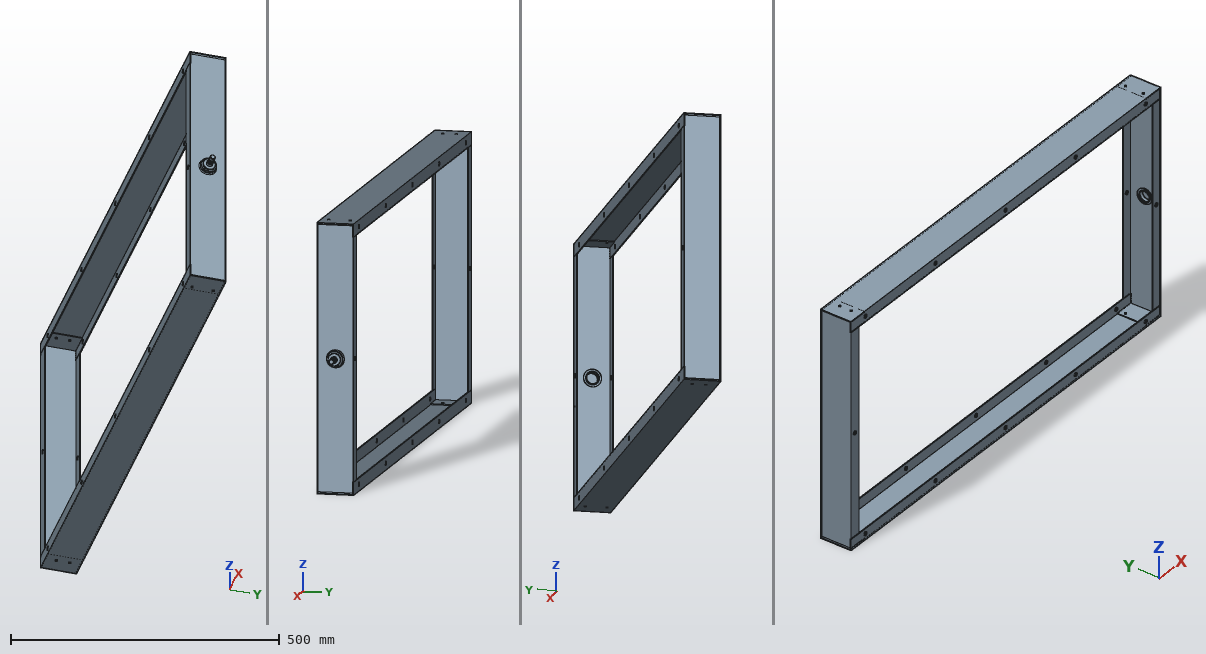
import cadquery as cq

overall_length = 1004.0
frame_length = 972.0
frame_depth = 70.0
frame_height = 514.0

sheet = 2.0
flange_width = 25.0
tab_length = 44.0

mount_diameter = 8.0
mount_inset = 13.0
mount_pitch = 220.0
mount_count = 5

screw_diameter = 4.5
left_screw_inset = 30.0
left_screw_spacing = 26.0
right_screw_inset = 35.0
right_screw_spacing = 41.0

shank_diameter = 26.0
socket_diameter = 22.0
socket_depth = 10.0
nut_diameter = 34.0
nut_thickness = 2.0
rim_diameter = 30.0
rim_length = 6.0
shoulder_diameter = 24.0
shoulder_length = 3.0
neck_diameter = 12.0
neck_length = 6.0
stem_diameter = 10.0
stem_length = 10.0
groove_diameter = 9.0
groove_width = 3.0
groove_offset = 3.0
cap_chamfer = 1.0

half_length = frame_length / 2
half_depth = frame_depth / 2
half_height = frame_height / 2


def mount_drills(points):
    """Cylinders along Y through both flanges at (x, z) points."""
    return (
        cq.Workplane("XZ", origin=(0, half_depth, 0))
        .pushPoints(points)
        .circle(mount_diameter / 2)
        .extrude(frame_depth)
    )


def screw_drills(x, spacing):
    """Two cylinders along Z through the whole frame."""
    return (
        cq.Workplane("XY", origin=(x, 0, -half_height))
        .pushPoints([(0, -spacing / 2), (0, spacing / 2)])
        .circle(screw_diameter / 2)
        .extrude(frame_height)
    )


def make_top_rail():
    """Channel over the full frame length, opening downwards."""
    outer = cq.Workplane("XY").box(frame_length, frame_depth, flange_width)
    inner = (
        cq.Workplane("XY")
        .box(frame_length, frame_depth - 2 * sheet, flange_width)
        .translate((0, 0, -sheet))
    )
    rail = outer.cut(inner).translate((0, 0, half_height - flange_width / 2))
    first_x = -mount_pitch * (mount_count - 1) / 2
    points = [(first_x + i * mount_pitch, half_height - mount_inset) for i in range(mount_count)]
    rail = rail.cut(mount_drills(points))
    for screws in (left_screws, right_screws):
        rail = rail.cut(screws)
    return rail


def make_left_side():
    """Channel opening inwards, with a tab bent inwards at each end of its web."""
    clear_height = frame_height - 2 * flange_width
    outer = cq.Workplane("XY").box(flange_width, frame_depth, clear_height)
    inner = (
        cq.Workplane("XY")
        .box(flange_width, frame_depth - 2 * sheet, clear_height)
        .translate((sheet, 0, 0))
    )
    channel = outer.cut(inner).translate((flange_width / 2 - half_length, 0, 0))

    strap_width = frame_depth - 2 * sheet
    strap_height = frame_height - 2 * sheet
    strap_outer = cq.Workplane("XY").box(tab_length, strap_width, strap_height)
    strap_inner = (
        cq.Workplane("XY")
        .box(tab_length, strap_width, strap_height - 2 * sheet)
        .translate((sheet, 0, 0))
    )
    strap = strap_outer.cut(strap_inner).translate((tab_length / 2 - half_length, 0, 0))
    return channel.union(strap).cut(mount_drills([(mount_inset - half_length, 0)]))


def disc(start_x, diameter, length):
    """Round bar along X on the frame's centre line."""
    return cq.Workplane("YZ", origin=(start_x, 0, 0)).circle(diameter / 2).extrude(length)


def make_collar():
    """Stepped flange on the web, its shank through the web and the nut, with a blind socket."""
    collar = (
        disc(nut_x, shank_diameter, nut_thickness + sheet)
        .union(disc(half_length, rim_diameter, rim_length))
        .union(disc(half_length + rim_length, shoulder_diameter, shoulder_length))
    )
    return collar.cut(disc(nut_x, socket_diameter, socket_depth))


def make_stem():
    """Thin bar with one shallow groove."""
    stem = disc(stem_x, stem_diameter, stem_length)
    groove_x = stem_x + groove_offset
    ring = disc(groove_x, stem_diameter, groove_width).cut(disc(groove_x, groove_diameter, groove_width))
    return stem.cut(ring)


web_inner_x = half_length - sheet
nut_x = web_inner_x - nut_thickness
neck_x = half_length + rim_length + shoulder_length
stem_x = neck_x + neck_length
cap_x = stem_x + stem_length
tip_x = overall_length - half_length

left_screws = screw_drills(left_screw_inset - half_length, left_screw_spacing)
right_screws = screw_drills(half_length - right_screw_inset, right_screw_spacing)

top_rail = make_top_rail()
bottom_rail = top_rail.mirror("XY")
left_side = make_left_side().cut(left_screws)
right_side = make_left_side().mirror("YZ").cut(right_screws)
right_side = right_side.cut(disc(web_inner_x, shank_diameter, sheet))
nut = disc(nut_x, nut_diameter, nut_thickness).cut(disc(nut_x, shank_diameter, nut_thickness))
collar = make_collar()
neck = disc(neck_x, neck_diameter, neck_length)
stem = make_stem()
cap = disc(cap_x, stem_diameter, tip_x - cap_x).faces(">X").chamfer(cap_chamfer)

result = cq.Compound.makeCompound(
    [
        top_rail.val(),
        bottom_rail.val(),
        left_side.val(),
        right_side.val(),
        nut.val(),
        collar.val(),
        neck.val(),
        stem.val(),
        cap.val(),
    ]
)